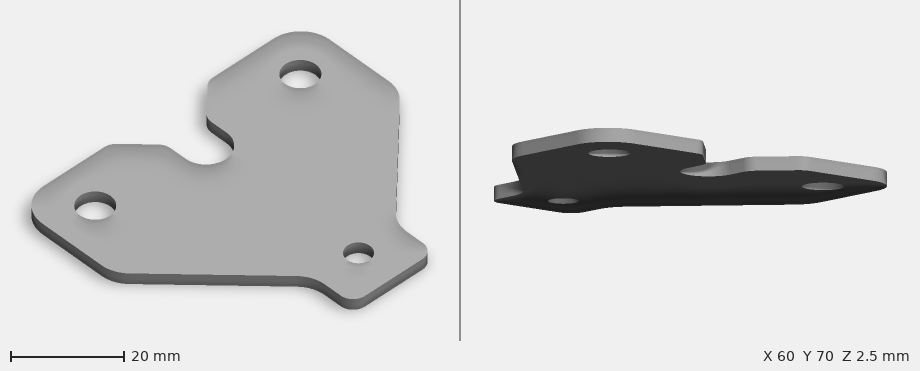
import cadquery as cq

length = 60.0
width = 70.0
thickness = 2.5

shoulder_x = 25.0
tab_half_width = 10.0
body_corner_radius = 7.0
tab_corner_radius = 3.0

slot_radius = 5.0
slot_center_x = 12.1
mouth_depth = 7.0
mouth_corner_radius = 3.0

large_hole_diameter = 7.4
large_hole_x = 10.0
large_hole_y = 25.0
small_hole_diameter = 5.45
small_hole_x = 51.0

half_width = width / 2
flank_end_x = shoulder_x + half_width - tab_half_width
mouth_half_width = slot_radius + mouth_depth


def round_corners(body, corners, radius):
    """Fillet the vertical edges at the given (x, y) corners and their mirror images."""
    for x, y in corners:
        for side in (1, -1):
            edge = cq.selectors.NearestToPointSelector((x, side * y, thickness / 2))
            body = body.edges("|Z").edges(edge).fillet(radius)
    return body


def make_plate():
    upper_half = [
        (0, half_width),
        (shoulder_x, half_width),
        (flank_end_x, tab_half_width),
        (length, tab_half_width),
    ]
    lower_half = [(x, -y) for x, y in reversed(upper_half)]
    plate = (
        cq.Workplane("XY")
        .moveTo(0, mouth_half_width)
        .polyline(upper_half + lower_half, includeCurrent=True)
        .lineTo(0, -mouth_half_width)
        .lineTo(mouth_depth, -slot_radius)
        .lineTo(slot_center_x, -slot_radius)
        .threePointArc((slot_center_x + slot_radius, 0), (slot_center_x, slot_radius))
        .lineTo(mouth_depth, slot_radius)
        .close()
        .extrude(thickness)
    )
    plate = round_corners(plate, upper_half[:3], body_corner_radius)
    plate = round_corners(plate, upper_half[3:], tab_corner_radius)
    mouth_corners = [(0, mouth_half_width), (mouth_depth, slot_radius)]
    return round_corners(plate, mouth_corners, mouth_corner_radius)


def drill(body, centers, diameter):
    holes = cq.Workplane("XY").pushPoints(centers).circle(diameter / 2).extrude(thickness)
    return body.cut(holes)


result = make_plate()
result = drill(result, [(large_hole_x, large_hole_y), (large_hole_x, -large_hole_y)], large_hole_diameter)
result = drill(result, [(small_hole_x, 0)], small_hole_diameter)